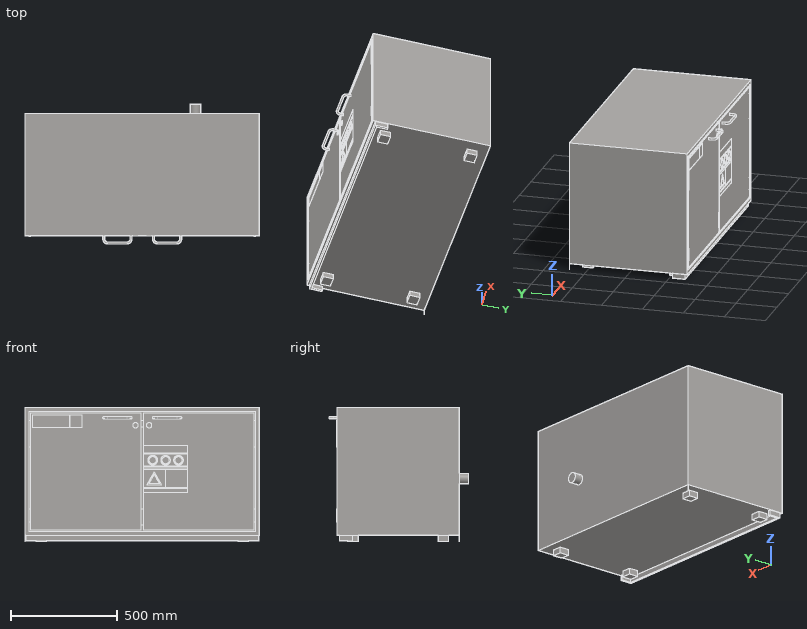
import cadquery as cq


WIDTH = 1102.0
DEPTH = 575.0
TOTAL_HEIGHT = 630.0
GROUND_CLEARANCE = 29.0
FRAME_WIDTH = 19.0

FOOT_SIZE = 50.0
FOOT_INSET = 51.0

DOOR_GAP = 8.0
CENTRE_GAP = 11.0
DOOR_THICKNESS = 44.0
DOOR_FRONT = 0.0

HINGE_SPANS = [(61.0, 186.0), (478.0, 539.0)]
HINGE_PROUD = 2.0
LATCH_SPANS = [(61.0, 93.0), (478.0, 553.0)]
LATCH_DEPTH = 5.0

LOCK_DIAMETER = 25.0
LOCK_X = 32.0
LOCK_DROP = 84.0
LOCK_PROUD = 1.0

HANDLE_DIAMETER = 10.0
HANDLE_SPAN = 128.0
HANDLE_CENTRE_X = 117.0
HANDLE_DROP = 48.0
HANDLE_REACH = 39.0
HANDLE_BEND_RADIUS = 18.0

LABEL_PROUD = 0.3
LABEL_TOP_DROP = 35.0
LABEL_BOTTOM_DROP = 94.0
LABEL_SPANS = [(-516.0, -342.0), (-339.0, -283.0)]
SIGN_WIDTH = 208.0
SIGN_TOP_DROP = 180.0
SIGN_BOTTOM_DROP = 399.0
SIGN_BAND_DROPS = [217.0, 278.0, 379.0]
SIGN_BAND_WIDTH = 4.0
SIGN_SEAM_DROP = 291.0
SIGN_SEAM_WIDTH = 1.0

RING_OUTER_DIAMETER = 45.0
RING_INNER_DIAMETER = 34.0
RING_PITCH = 61.0
RING_ROW_DROP = 248.0
TRIANGLE_CENTRE_X = 56.0
TRIANGLE_WIDTH = 68.0
TRIANGLE_APEX_DROP = 303.0
TRIANGLE_BASE_DROP = 364.0
TRIANGLE_BORDER = 5.0

PLINTH_SIDE_INSET = 3.0
PLINTH_SETBACK = 11.0
PLINTH_DEPTH = 62.0
PLINTH_WALL = 10.0
PLINTH_FLOOR_GAP = 3.0

SPOUT_DIAMETER = 50.0
SPOUT_LENGTH = 44.0
SPOUT_X = 250.0
SPOUT_HEIGHT = 295.0
PIN_SIZE = 1.0

OPENING_HALF_WIDTH = WIDTH / 2 - FRAME_WIDTH
OPENING_BOTTOM = GROUND_CLEARANCE + FRAME_WIDTH
OPENING_TOP = TOTAL_HEIGHT - FRAME_WIDTH
DOOR_INNER_X = CENTRE_GAP / 2
DOOR_OUTER_X = OPENING_HALF_WIDTH - DOOR_GAP
SIGN_FACE = DOOR_FRONT - LABEL_PROUD


def block(x_range, y_range, z_range):
    """Box between the given limits along each axis."""
    low, high = zip(x_range, y_range, z_range)
    sizes = [end - start for start, end in zip(low, high)]
    return cq.Workplane("XY").box(*sizes, centered=False).translate(low)


def below_top(drop):
    """Height of a point that lies the given distance below the cabinet top."""
    return TOTAL_HEIGHT - drop


def span_below_top(top_drop, bottom_drop):
    return (below_top(bottom_drop), below_top(top_drop))


def front_plane(y):
    """Sketch plane at depth y whose local axes are X and Z and whose normal points to the front."""
    return cq.Workplane("XZ", origin=(0, y, 0))


def make_feet():
    x_offset = WIDTH / 2 - FOOT_INSET - FOOT_SIZE / 2
    y_offset = DEPTH / 2 - FOOT_INSET - FOOT_SIZE / 2
    return (
        cq.Workplane("XY")
        .center(0, DEPTH / 2)
        .rect(2 * x_offset, 2 * y_offset, forConstruction=True)
        .vertices()
        .rect(FOOT_SIZE, FOOT_SIZE)
        .extrude(GROUND_CLEARANCE)
    )


def make_carcass():
    carcass = block((-WIDTH / 2, WIDTH / 2), (0, DEPTH), (GROUND_CLEARANCE, TOTAL_HEIGHT))
    opening_x = (-OPENING_HALF_WIDTH, OPENING_HALF_WIDTH)
    carcass = carcass.cut(block(opening_x, (DOOR_FRONT, DOOR_THICKNESS), (OPENING_BOTTOM, OPENING_TOP)))
    carcass = carcass.union(make_feet())

    for span in HINGE_SPANS:
        right_hinge = block(
            (DOOR_OUTER_X, OPENING_HALF_WIDTH), (-HINGE_PROUD, DOOR_THICKNESS), span_below_top(*span)
        )
        carcass = carcass.union(right_hinge).union(right_hinge.mirror("YZ"))

    for span in LATCH_SPANS:
        latch_x = (-DOOR_INNER_X, DOOR_INNER_X)
        carcass = carcass.union(block(latch_x, (LATCH_DEPTH, DOOR_THICKNESS), span_below_top(*span)))
    return carcass


def make_door_panel(side):
    """Plain door with its lock disc; side is -1 for the left door and 1 for the right."""
    door_x = sorted((side * DOOR_INNER_X, side * DOOR_OUTER_X))
    door_z = (OPENING_BOTTOM + DOOR_GAP, OPENING_TOP - DOOR_GAP)
    panel = block(door_x, (DOOR_FRONT, DOOR_THICKNESS), door_z)
    lock = (
        front_plane(DOOR_FRONT)
        .center(side * LOCK_X, below_top(LOCK_DROP))
        .circle(LOCK_DIAMETER / 2)
        .extrude(LOCK_PROUD)
    )
    return panel.union(lock)


def make_sign_plate():
    """Sign plate, split into fields by horizontal bands and by one thin T-shaped seam."""
    sign_x = (DOOR_INNER_X, DOOR_INNER_X + SIGN_WIDTH)
    sign_y = (SIGN_FACE, DOOR_FRONT)
    plate = block(sign_x, sign_y, span_below_top(SIGN_TOP_DROP, SIGN_BOTTOM_DROP))
    grooves = [(drop, SIGN_BAND_WIDTH) for drop in SIGN_BAND_DROPS]
    grooves.append((SIGN_SEAM_DROP, SIGN_SEAM_WIDTH))
    for drop, width in grooves:
        plate = plate.cut(block(sign_x, sign_y, span_below_top(drop - width / 2, drop + width / 2)))

    seam_start = DOOR_INNER_X + SIGN_WIDTH / 2 - SIGN_SEAM_WIDTH / 2
    seam_x = (seam_start, seam_start + SIGN_SEAM_WIDTH)
    return plate.cut(block(seam_x, sign_y, span_below_top(SIGN_SEAM_DROP, SIGN_BAND_DROPS[-1])))


def make_sign_symbols():
    """Ring and triangle borders standing on the sign plate."""
    ring_centre_x = DOOR_INNER_X + SIGN_WIDTH / 2
    ring_centres = [(ring_centre_x + step * RING_PITCH, below_top(RING_ROW_DROP)) for step in (-1, 0, 1)]
    rings = (
        front_plane(SIGN_FACE)
        .pushPoints(ring_centres)
        .circle(RING_OUTER_DIAMETER / 2)
        .circle(RING_INNER_DIAMETER / 2)
        .extrude(LABEL_PROUD)
    )
    triangle = (
        front_plane(SIGN_FACE)
        .moveTo(TRIANGLE_CENTRE_X - TRIANGLE_WIDTH / 2, below_top(TRIANGLE_BASE_DROP))
        .lineTo(TRIANGLE_CENTRE_X + TRIANGLE_WIDTH / 2, below_top(TRIANGLE_BASE_DROP))
        .lineTo(TRIANGLE_CENTRE_X, below_top(TRIANGLE_APEX_DROP))
        .close()
        .extrude(LABEL_PROUD)
    )
    border = triangle.faces("<Y").wires().toPending().offset2D(-TRIANGLE_BORDER).cutThruAll()
    return rings.union(border)


def make_left_door():
    door = make_door_panel(-1)
    for span in LABEL_SPANS:
        label_z = span_below_top(LABEL_TOP_DROP, LABEL_BOTTOM_DROP)
        door = door.union(block(span, (SIGN_FACE, DOOR_FRONT), label_z))
    return door


def make_right_door():
    return make_door_panel(1).union(make_sign_plate()).union(make_sign_symbols())


def make_handle(centre_x):
    """Round bar bent into a bow, with both ends standing on the door."""
    left = centre_x - HANDLE_SPAN / 2
    right = centre_x + HANDLE_SPAN / 2
    bar_y = -HANDLE_REACH + HANDLE_DIAMETER / 2
    bend_y = bar_y + HANDLE_BEND_RADIUS
    height = below_top(HANDLE_DROP)
    path = (
        cq.Workplane("XY", origin=(0, 0, height))
        .moveTo(left, DOOR_FRONT)
        .lineTo(left, bend_y)
        .tangentArcPoint((left + HANDLE_BEND_RADIUS, bar_y), relative=False)
        .lineTo(right - HANDLE_BEND_RADIUS, bar_y)
        .tangentArcPoint((right, bend_y), relative=False)
        .lineTo(right, DOOR_FRONT)
    )
    return front_plane(DOOR_FRONT).center(left, height).circle(HANDLE_DIAMETER / 2).sweep(path)


def make_plinth():
    half_width = WIDTH / 2 - PLINTH_SIDE_INSET
    inner_half_width = half_width - PLINTH_WALL
    back = PLINTH_SETBACK + PLINTH_DEPTH
    plinth_z = (PLINTH_FLOOR_GAP, GROUND_CLEARANCE)
    bar = block((-half_width, half_width), (PLINTH_SETBACK, back), plinth_z)
    hollow_y = (PLINTH_SETBACK + PLINTH_WALL, back)
    return bar.cut(block((-inner_half_width, inner_half_width), hollow_y, plinth_z))


def make_spout():
    return (
        front_plane(DEPTH)
        .center(SPOUT_X, SPOUT_HEIGHT)
        .circle(SPOUT_DIAMETER / 2)
        .extrude(-SPOUT_LENGTH)
    )


def make_corner_pin():
    pin_x = (-WIDTH / 2, -WIDTH / 2 + PIN_SIZE)
    return block(pin_x, (DEPTH - PIN_SIZE, DEPTH), (0, GROUND_CLEARANCE))


carcass = make_carcass()
left_door = make_left_door()
right_door = make_right_door()
handles = [make_handle(side * HANDLE_CENTRE_X) for side in (-1, 1)]
plinth = make_plinth()
spout = make_spout()
corner_pin = make_corner_pin()

result = cq.Compound.makeCompound(
    [
        carcass.val(),
        left_door.val(),
        right_door.val(),
        *[handle.val() for handle in handles],
        plinth.val(),
        spout.val(),
        corner_pin.val(),
    ]
)